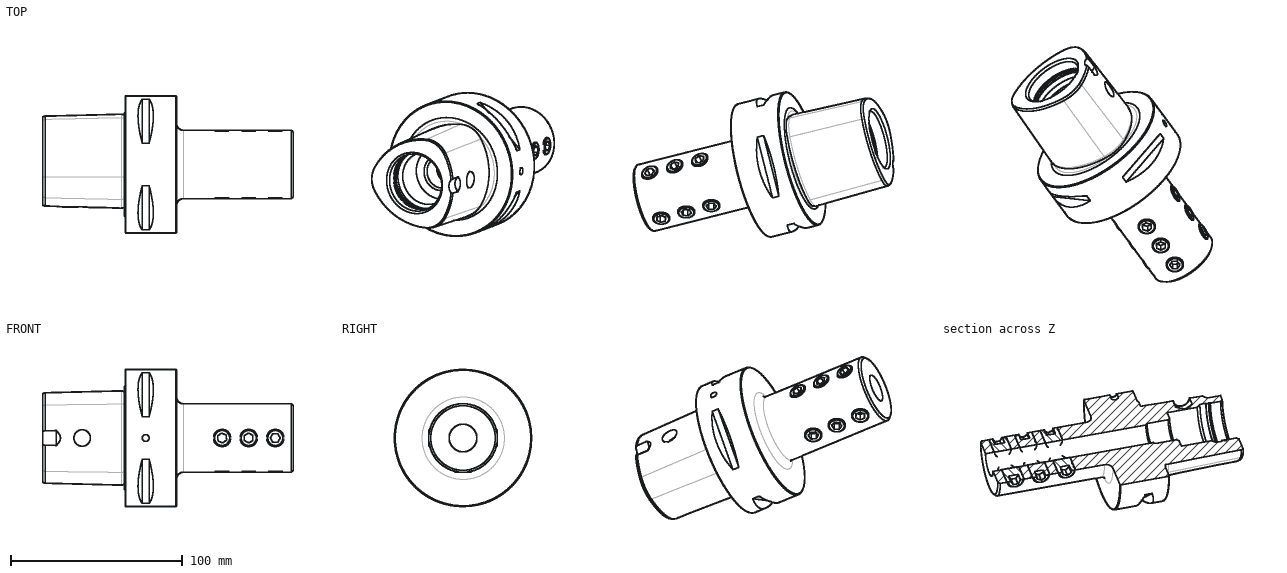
import cadquery as cq
import math


flange_start = 48.0
flange_width = 30.0
flange_end = flange_start + flange_width
overall_length = 146.0

flange_diameter = 80.0
flange_chamfer = 0.5
shank_diameter = 40.0
shank_fillet = 4.0
shank_chamfer = 1.2

collar_height = 0.6
collar_top_radius = 28.5
collar_base_radius = 30.4

lobe_count = 3
lobe_center_distance = 14.2
gauge_half_width = 27.5
gauge_x = 45.5
taper_slope = 1 / 40
taper_end = 45.8
tip_chamfer_length = 1.4
tip_chamfer_depth = 0.5
neck_depth = 0.5

mouth_radius = 18.1
mouth_chamfer_length = 1.5
front_bore_radius = 16.9
snap_groove_start = 7.6
snap_groove_end = 8.6
clamp_groove_start = 10.2
clamp_groove_end = 13.8
clamp_groove_radius = 17.5
deep_bore_radius = 15.4
deep_bore_floor = 34.0
bolt_chamfer_radius = 10.4
bolt_hole_radius = 9.1
bolt_hole_end = flange_start
tool_bore_radius = 8.0

drill_half_angle = math.radians(59)
taper_hole_x = 23.0
taper_hole_diameter = 9.6
taper_hole_depth = 6.0
flange_hole_diameter = 4.0
flange_hole_depth = 4.0

keyway_radius = 5.6
keyway_floor_distance = 22.3
keyway_length = 8.0

grip_x = flange_start + 12.0
grip_count = 4
grip_floor_distance = 35.6
grip_floor_width = 3.9
grip_flank_angle = math.radians(30)

screw_diameter = 10.0
screw_chamfer = 0.6
screw_first_x = 104.5
screw_pitch = 15.5
socket_width = 5.0
socket_depth = 5.0
socket_turns = [-7, 0, 30]
screw_row_angles = [0, 90, 180]


def polar(distance, angle):
    return distance * math.cos(angle), distance * math.sin(angle)


def point_on_arc(lobe_angle, radius, direction):
    """Point of an arc centered on the lobe center at lobe_angle."""
    center_y, center_z = polar(lobe_center_distance, lobe_angle)
    offset_y, offset_z = polar(radius, direction)
    return center_y + offset_y, center_z + offset_z


def lobed_outline(workplane, half_width):
    """Rounded triangle of constant width, with lobe and flank arcs on the same centers."""
    lobe_spacing = 2 * math.pi / lobe_count
    half_span = lobe_spacing / 4
    lobe_radius = half_width - lobe_center_distance * math.cos(half_span)
    flank_radius = 2 * half_width - lobe_radius
    outline = workplane.moveTo(*point_on_arc(0, lobe_radius, -half_span))
    for index in range(lobe_count):
        lobe = index * lobe_spacing
        flank = lobe + lobe_spacing / 2
        opposite_lobe = flank + math.pi
        outline = outline.threePointArc(
            point_on_arc(lobe, lobe_radius, lobe),
            point_on_arc(lobe, lobe_radius, lobe + half_span),
        )
        outline = outline.threePointArc(
            point_on_arc(opposite_lobe, flank_radius, flank),
            point_on_arc(opposite_lobe, flank_radius, flank + half_span),
        )
    return outline.close()


def lobed_section(start_x, end_x, start_half_width, end_half_width):
    base = lobed_outline(cq.Workplane("YZ", origin=(start_x, 0, 0)), start_half_width)
    end = lobed_outline(base.workplane(offset=end_x - start_x), end_half_width)
    return end.loft(ruled=True)


def taper_half_width(x):
    return gauge_half_width + (x - gauge_x) * taper_slope


def make_taper():
    tip = lobed_section(
        0, tip_chamfer_length,
        taper_half_width(0) - tip_chamfer_depth, taper_half_width(tip_chamfer_length),
    )
    main = lobed_section(
        tip_chamfer_length, taper_end,
        taper_half_width(tip_chamfer_length), taper_half_width(taper_end),
    )
    neck = lobed_section(
        taper_end, flange_start,
        taper_half_width(taper_end), taper_half_width(taper_end) - neck_depth,
    )
    return tip.union(main).union(neck)


def revolve_about_x(profile):
    return profile.close().revolve(360, (0, 0, 0), (1, 0, 0))


def make_flange_and_shank():
    flange_radius = flange_diameter / 2
    shank_radius = shank_diameter / 2
    fillet_reach = shank_fillet * (1 - math.cos(math.pi / 4))
    profile = (
        cq.Workplane("XY")
        .moveTo(flange_start - collar_height, 0)
        .lineTo(flange_start - collar_height, collar_top_radius)
        .tangentArcPoint((flange_start, collar_base_radius), relative=False)
        .lineTo(flange_start, flange_radius - flange_chamfer)
        .lineTo(flange_start + flange_chamfer, flange_radius)
        .lineTo(flange_end - flange_chamfer, flange_radius)
        .lineTo(flange_end, flange_radius - flange_chamfer)
        .lineTo(flange_end, shank_radius + shank_fillet)
        .threePointArc(
            (flange_end + fillet_reach, shank_radius + fillet_reach),
            (flange_end + shank_fillet, shank_radius),
        )
        .lineTo(overall_length - shank_chamfer, shank_radius)
        .lineTo(overall_length, shank_radius - shank_chamfer)
        .lineTo(overall_length, 0)
    )
    return revolve_about_x(profile)


def make_bore():
    """Stepped bore whose conical steps all slope at 45 degrees, except the mouth chamfer."""
    groove_taper = clamp_groove_radius - deep_bore_radius
    bolt_chamfer = bolt_chamfer_radius - bolt_hole_radius
    bore_step = bolt_hole_radius - tool_bore_radius
    profile = (
        cq.Workplane("XY")
        .lineTo(0, mouth_radius)
        .lineTo(mouth_chamfer_length, front_bore_radius)
        .lineTo(snap_groove_start, front_bore_radius)
        .lineTo(snap_groove_start, clamp_groove_radius)
        .lineTo(snap_groove_end, clamp_groove_radius)
        .lineTo(snap_groove_end, front_bore_radius)
        .lineTo(clamp_groove_start, front_bore_radius)
        .lineTo(clamp_groove_start, clamp_groove_radius)
        .lineTo(clamp_groove_end, clamp_groove_radius)
        .lineTo(clamp_groove_end + groove_taper, deep_bore_radius)
        .lineTo(deep_bore_floor, deep_bore_radius)
        .lineTo(deep_bore_floor, bolt_chamfer_radius)
        .lineTo(deep_bore_floor + bolt_chamfer, bolt_hole_radius)
        .lineTo(bolt_hole_end, bolt_hole_radius)
        .lineTo(bolt_hole_end + bore_step, tool_bore_radius)
        .lineTo(overall_length, tool_bore_radius)
        .lineTo(overall_length, 0)
    )
    return revolve_about_x(profile)


def make_drilled_hole(x, diameter, surface_distance, depth):
    """Blind hole with a drill point, entering from the -Y side."""
    radius = diameter / 2
    point_length = radius / math.tan(drill_half_angle)
    bottom_y = -(surface_distance - depth)
    entry_y = -flange_diameter / 2
    return (
        cq.Workplane("XY")
        .moveTo(x, entry_y)
        .lineTo(x + radius, entry_y)
        .lineTo(x + radius, bottom_y)
        .lineTo(x, bottom_y + point_length)
        .close()
        .revolve(360, (x, 0, 0), (x, 1, 0))
    )


def make_keyway():
    """Round-bottomed keyway ending in a 45 degree cone."""
    axis_y = -(keyway_floor_distance + keyway_radius)
    return (
        cq.Workplane("XY")
        .moveTo(0, axis_y)
        .lineTo(0, axis_y + keyway_radius)
        .lineTo(keyway_length, axis_y + keyway_radius)
        .lineTo(keyway_length + keyway_radius, axis_y)
        .close()
        .revolve(360, (0, axis_y, 0), (1, axis_y, 0))
    )


def make_grip_groove(angle):
    """Straight V groove with a flat floor, cut across the flange rim."""
    half_floor = grip_floor_width / 2
    rim = flange_diameter / 2
    half_mouth = half_floor + (rim - grip_floor_distance) * math.tan(grip_flank_angle)
    groove = (
        cq.Workplane("XY")
        .moveTo(grip_x - half_floor, grip_floor_distance)
        .lineTo(grip_x + half_floor, grip_floor_distance)
        .lineTo(grip_x + half_mouth, rim)
        .lineTo(grip_x - half_mouth, rim)
        .close()
        .extrude(rim / 2, both=True)
    )
    return groove.rotate((0, 0, 0), (1, 0, 0), angle)


def make_screw_blank():
    """Chamfered cylinder reaching from the shank surface to the tool bore, along -Y."""
    screw_length = shank_diameter / 2 - tool_bore_radius
    return (
        cq.Workplane("XZ", origin=(0, -tool_bore_radius, 0))
        .circle(screw_diameter / 2)
        .extrude(screw_length)
        .faces("<Y")
        .chamfer(screw_chamfer)
    )


def make_set_screw(socket_turn):
    corner_width = socket_width / math.cos(math.pi / 6)
    socket = (
        cq.Workplane("XZ", origin=(0, -shank_diameter / 2 + socket_depth, 0))
        .polygon(6, corner_width)
        .extrude(socket_depth)
        .rotate((0, 0, 0), (0, 1, 0), 30 + socket_turn)
    )
    return make_screw_blank().cut(socket)


def place_screw(screw, index, row_angle):
    moved = screw.translate((screw_first_x + index * screw_pitch, 0, 0))
    return moved.rotate((0, 0, 0), (1, 0, 0), row_angle)


def make_holder():
    lobe_sink = lobe_center_distance * (1 - math.cos(math.pi / (2 * lobe_count)))
    taper_flat_distance = taper_half_width(taper_hole_x) - lobe_sink
    holder = make_taper().union(make_flange_and_shank()).cut(make_bore()).cut(make_keyway())
    holder = holder.cut(
        make_drilled_hole(taper_hole_x, taper_hole_diameter, taper_flat_distance, taper_hole_depth)
    )
    holder = holder.cut(
        make_drilled_hole(grip_x, flange_hole_diameter, flange_diameter / 2, flange_hole_depth)
    )
    for index in range(grip_count):
        holder = holder.cut(make_grip_groove(360 / grip_count * (index + 0.5)))
    for row_angle in screw_row_angles:
        for index in range(len(socket_turns)):
            holder = holder.cut(place_screw(make_screw_blank(), index, row_angle))
    return holder


holder = make_holder()
set_screws = []
for row_angle in screw_row_angles:
    for index, socket_turn in enumerate(socket_turns):
        set_screws.append(place_screw(make_set_screw(socket_turn), index, row_angle).solids().val())

result = cq.Compound.makeCompound([holder.solids().val(), *set_screws])